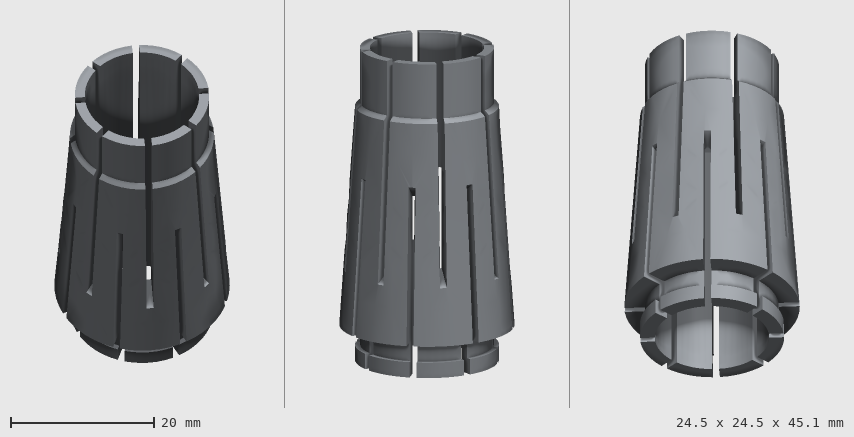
import cadquery as cq

total_height = 45.1
rim_height = 2.2
cone_bottom = 5.1
cone_top = 36.65
shoulder_top = 37.25

bore_radius = 8.0
collar_radius = 9.4
neck_radius = 9.35
rim_radius = 10.05
cone_top_radius = rim_radius
cone_bottom_radius = 24.5 / 2

slots_per_ring = 8
slot_pitch = 360 / slots_per_ring
slot_width = 1.0
lower_slot_end = 27.6
upper_slot_end = 13.35
end_rise = 1.9
overcut = 0.9


def cone_radius(height):
    """Outer radius of the tapered body at a given height."""
    taper = (cone_bottom_radius - cone_top_radius) / (cone_top - cone_bottom)
    return cone_bottom_radius - taper * (height - cone_bottom)


def turned_sleeve():
    """Bored sleeve with a rim, neck, tapered body, chamfered shoulder and collar."""
    profile = [
        (bore_radius, 0),
        (rim_radius, 0),
        (rim_radius, rim_height),
        (neck_radius, rim_height),
        (neck_radius, cone_bottom),
        (cone_bottom_radius, cone_bottom),
        (cone_top_radius, cone_top),
        (collar_radius, shoulder_top),
        (collar_radius, total_height),
        (bore_radius, total_height),
    ]
    return cq.Workplane("XZ").polyline(profile).close().revolve(360, (0, 0), (0, 1))


def slot_ring(open_height, outer_end, inner_end, first_angle):
    """Radial cutters through the wall, from an open end to a sloped slot end."""
    end_radius = cone_radius(outer_end)
    slope = (outer_end - inner_end) / (end_radius - bore_radius)
    inner_reach = bore_radius - overcut
    outer_reach = cone_bottom_radius + overcut
    outline = [
        (inner_reach, open_height),
        (outer_reach, open_height),
        (outer_reach, outer_end + slope * (outer_reach - end_radius)),
        (inner_reach, inner_end + slope * (inner_reach - bore_radius)),
    ]
    cutter = cq.Workplane("XZ").polyline(outline).close().extrude(slot_width / 2, both=True)
    ring = cq.Workplane("XY")
    for index in range(slots_per_ring):
        angle = first_angle + index * slot_pitch
        ring = ring.add(cutter.rotate((0, 0, 0), (0, 0, 1), angle))
    return ring.combine()


lower_slots = slot_ring(0, lower_slot_end, lower_slot_end - end_rise, 0)
upper_slots = slot_ring(total_height, upper_slot_end, upper_slot_end + end_rise, slot_pitch / 2)

result = turned_sleeve().cut(lower_slots).cut(upper_slots)